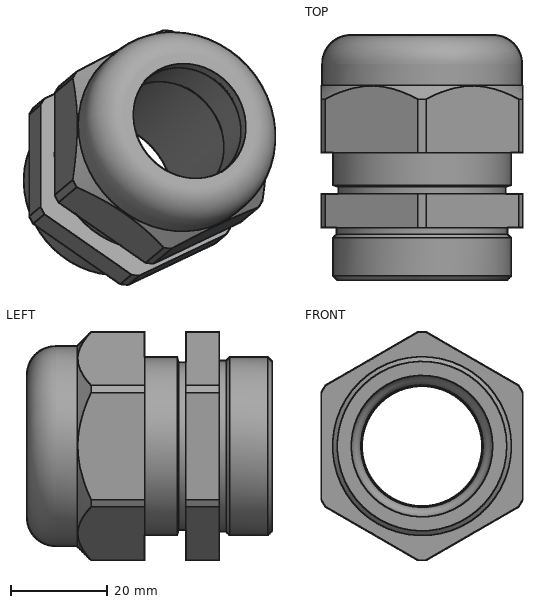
import cadquery as cq
import math

overall_length = 51.1

hex_across_flats = 42.0
hex_across_corners = 47.5

thread_radius = 18.6
thread_end_chamfer = 0.95
bore_radius = 14.7
lower_groove_radius = 17.85
lower_groove_width = 1.4
flange_start = 11.0
flange_end = 18.0
upper_groove_radius = 17.5
upper_groove_width = 1.5
upper_taper_length = 0.35

cap_start = 26.55
cap_hex_end = 40.6
cap_radius = 20.85
dome_fillet = 6.1
cap_end_wall = 3.05
cap_opening_radius = 12.45

seal_start = 32.7
seal_outer_radius = 16.65
seal_inner_radius = 12.7
seal_slope_angle = math.radians(45)

body_end = overall_length - cap_end_wall


def cylinder(radius, start, end):
    """Cylinder about the Y axis; the XZ workplane faces -Y, so the extrusion length is negative."""
    return cq.Workplane("XZ", origin=(0, start, 0)).circle(radius).extrude(start - end)


def revolve_profile(profile):
    """Turn a closed (radius, y) profile about the Y axis."""
    return profile.close().revolve(360, (0, 0, 0), (0, 1, 0))


def hexagon(start, end):
    """Hexagonal prism with flats facing +X and -X, its corners turned down to a cylinder."""
    sharp_diameter = hex_across_flats / math.cos(math.radians(30))
    prism = (
        cq.Workplane("XZ", origin=(0, start, 0))
        .transformed(rotate=(0, 0, 30))
        .polygon(6, sharp_diameter)
        .extrude(start - end)
    )
    return prism.intersect(cylinder(hex_across_corners / 2, start, end))


def make_body():
    lower_groove_start = flange_start - lower_groove_width
    lower_taper = thread_radius - lower_groove_radius
    upper_groove_end = flange_end + upper_groove_width
    turned = revolve_profile(
        cq.Workplane("XY")
        .moveTo(bore_radius, 0)
        .lineTo(thread_radius - thread_end_chamfer, 0)
        .lineTo(thread_radius, thread_end_chamfer)
        .lineTo(thread_radius, lower_groove_start - lower_taper)
        .lineTo(lower_groove_radius, lower_groove_start)
        .lineTo(lower_groove_radius, flange_end)
        .lineTo(upper_groove_radius, flange_end)
        .lineTo(upper_groove_radius, upper_groove_end)
        .lineTo(thread_radius, upper_groove_end + upper_taper_length)
        .lineTo(thread_radius, body_end)
        .lineTo(seal_outer_radius, body_end)
        .lineTo(seal_outer_radius, seal_start)
        .lineTo(bore_radius, seal_start)
    )
    flange = hexagon(flange_start, flange_end).cut(cylinder(bore_radius, flange_start, flange_end))
    return turned.union(flange)


def make_cap():
    bevel_height = hex_across_corners / 2 - cap_radius
    bevelled_blank = cylinder(hex_across_corners / 2, cap_start, cap_hex_end).faces(">Y").chamfer(bevel_height)
    hex_section = hexagon(cap_start, cap_hex_end).intersect(bevelled_blank)

    dome = cylinder(cap_radius, cap_start, overall_length).faces(">Y").edges().fillet(dome_fillet)
    return (
        hex_section.union(dome)
        .cut(cylinder(thread_radius, cap_start, body_end))
        .cut(cylinder(cap_opening_radius, body_end, overall_length))
    )


def make_seal():
    arc_drop = (bore_radius - seal_inner_radius) / 2
    arc_radius = arc_drop / (1 - math.cos(seal_slope_angle))

    def entry_arc_point(angle):
        """Point on the first arc, where the bore wall has turned inward by the angle."""
        radius = bore_radius - arc_radius * (1 - math.cos(angle))
        return (radius, seal_start + arc_radius * math.sin(angle))

    slope_middle = entry_arc_point(seal_slope_angle)

    def exit_arc_point(angle):
        """Point on the second arc, the first one turned half a turn about the slope middle."""
        radius, y = entry_arc_point(angle)
        return (2 * slope_middle[0] - radius, 2 * slope_middle[1] - y)

    half_angle = seal_slope_angle / 2
    return revolve_profile(
        cq.Workplane("XY")
        .moveTo(seal_outer_radius, seal_start)
        .lineTo(bore_radius, seal_start)
        .threePointArc(entry_arc_point(half_angle), slope_middle)
        .threePointArc(exit_arc_point(half_angle), exit_arc_point(0))
        .lineTo(seal_inner_radius, body_end)
        .lineTo(seal_outer_radius, body_end)
    )


body = make_body()
cap = make_cap()
seal = make_seal()

result = cq.Compound.makeCompound([body.solids().val(), cap.solids().val(), seal.solids().val()])